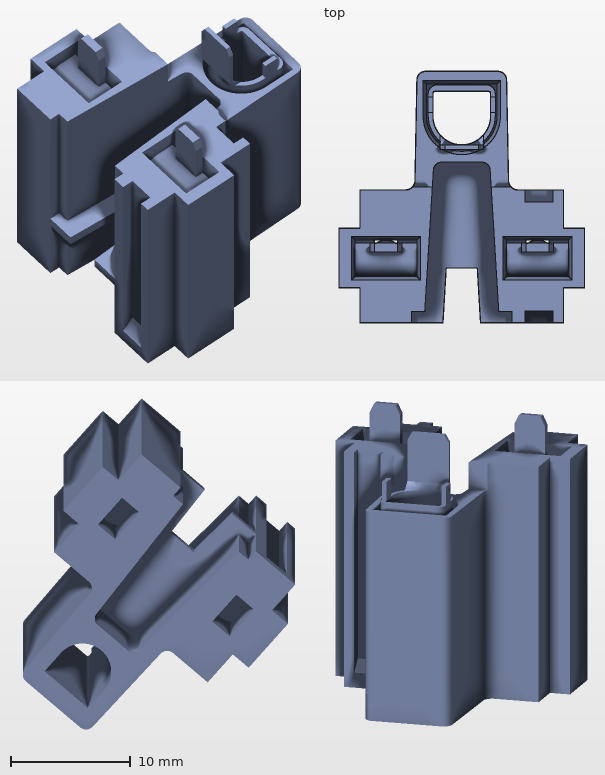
import cadquery as cq
import math

block_height = 20.33
block_half_width = 8.5
block_depth = 11.12
ear_half_width = 10.255
ear_front = 2.93
ear_depth = 5.0

housing_depth = 21.02
tower_height = 18.03
tower_step_y = 11.36
tower_root_half_width = 3.93
tower_rear_half_width = 3.74
tower_corner_radius = 0.75

channel_front_half_width = 3.15
channel_rear_half_width = 2.33
channel_rear_y = 13.43
channel_corner_radius = 0.7
notch_half_width = 4.18
notch_depth = 0.95
web_bottom = 6.3
web_thickness = 0.9
web_slot_front_half_width = 1.56
web_slot_rear_half_width = 1.29
web_slot_depth = 4.57

groove_center_x = 6.46
groove_width = 2.32
groove_depth = 1.02
groove_bottom = 1.3
groove_slope_rise = 0.97

mouth_flare = 0.28
mouth_depth = 1.3

terminal_x = 6.33
pocket_center_y = 5.4
pocket_length = 5.18
pocket_width = 3.06
pocket_floor = 4.1
entry_width = 1.94
terminal_top = 19.2
terminal_roll_radius = 1.2
terminal_rear_gap = 0.26
bulge_half_width = 0.8
pin_width = 2.66
pin_thickness = 0.74
pin_top = 23.43
pin_chamfer_width = 0.38
pin_chamfer_height = 0.79

sleeve_y = 17.28
sleeve_inner_radius = 2.4
sleeve_wall = 0.4
sleeve_rear_y = 19.88
sleeve_rear_wall = 0.54
sleeve_corner_radius = 0.75
sleeve_inner_corner_radius = 0.2
sleeve_top = 18.56
bore_half_width = 2.95
bore_rear_y = 19.96
bore_floor = 2.0
ear_tab_front = 17.57
ear_tab_length = 1.29
ear_tab_top = 20.14
blade_half_width = 1.81
blade_bend_top = 19.26
blade_top = 23.5
blade_chamfer_width = 0.4
blade_chamfer_height = 0.68

sleeve_outer_radius = sleeve_inner_radius + sleeve_wall
pocket_rear_y = pocket_center_y + pocket_width / 2
pocket_front_y = pocket_center_y - pocket_width / 2
terminal_rear_y = pocket_rear_y - terminal_rear_gap


def box(x_min, x_max, y_min, y_max, z_min, z_max):
    """Axis-aligned box between the given limits."""
    size = (x_max - x_min, y_max - y_min, z_max - z_min)
    return cq.Workplane("XY").box(*size, centered=False).translate((x_min, y_min, z_min))


def tapered_prism(front_half, rear_half, front_y, rear_y, height):
    """Prism standing on Z=0, symmetric about X=0, whose width changes along Y."""
    outline = [(-front_half, front_y), (front_half, front_y), (rear_half, rear_y), (-rear_half, rear_y)]
    return cq.Workplane("XY").polyline(outline).close().extrude(height)


def d_outline(plane, radius, rear_y):
    """D-shaped outline: a half circle toward the front and square rear corners."""
    return (
        plane.moveTo(-radius, sleeve_y)
        .threePointArc((0, sleeve_y - radius), (radius, sleeve_y))
        .lineTo(radius, rear_y)
        .lineTo(-radius, rear_y)
        .close()
    )


def d_prism(radius, rear_y, bottom, height):
    """Upright prism with the D-shaped outline."""
    return d_outline(cq.Workplane("XY", origin=(0, 0, bottom)), radius, rear_y).extrude(height)


def chamfered_blade(half_width, bottom, top, chamfer_width, chamfer_height, rear_y, thickness):
    """Upright flat blade, symmetric about X=0, with both top corners cut off."""
    shoulder = top - chamfer_height
    tip_half = half_width - chamfer_width
    outline = [
        (-half_width, bottom),
        (half_width, bottom),
        (half_width, shoulder),
        (tip_half, top),
        (-tip_half, top),
        (-half_width, shoulder),
    ]
    return cq.Workplane("XZ", origin=(0, rear_y, 0)).polyline(outline).close().extrude(thickness)



def housing_shell():
    """Cross-shaped front block joined to the lower rear tower."""
    block = box(-block_half_width, block_half_width, 0, block_depth, 0, block_height)
    ears = box(-ear_half_width, ear_half_width, ear_front, ear_front + ear_depth, 0, block_height)
    tower = tapered_prism(
        tower_root_half_width, tower_rear_half_width, block_depth, housing_depth, block_height
    )
    tower = tower.faces(">Y").edges("|Z").fillet(tower_corner_radius)
    shell = block.union(ears).union(tower)
    margin = 0.1
    root_edges = cq.selectors.BoxSelector(
        (-tower_root_half_width - margin, block_depth - margin, 0),
        (tower_root_half_width + margin, block_depth + margin, block_height),
    )
    shell = shell.edges("|Z").edges(root_edges).fillet(tower_corner_radius)
    above_tower = box(
        -ear_half_width, ear_half_width, tower_step_y, housing_depth, tower_height, block_height
    )
    return shell.cut(above_tower)


def channel():
    """Tapered channel with its front notch, interrupted by the slotted web."""
    space = tapered_prism(
        channel_front_half_width, channel_rear_half_width, 0, channel_rear_y, block_height
    )
    space = space.faces(">Y").edges("|Z").fillet(channel_corner_radius)
    space = space.union(box(-notch_half_width, notch_half_width, 0, notch_depth, 0, block_height))
    web = box(
        -notch_half_width, notch_half_width, 0, channel_rear_y, web_bottom, web_bottom + web_thickness
    )
    slot = tapered_prism(
        web_slot_front_half_width, web_slot_rear_half_width, 0, web_slot_depth, block_height
    )
    return space.cut(web.cut(slot))


def front_groove():
    """Coding groove open at the top, with a sloped lower end."""
    side_outline = [
        (0, groove_bottom),
        (groove_depth, groove_bottom + groove_slope_rise),
        (groove_depth, block_height),
        (0, block_height),
    ]
    left = groove_center_x - groove_width / 2
    return cq.Workplane("YZ", origin=(left, 0, 0)).polyline(side_outline).close().extrude(groove_width)


def terminal_pocket(center_x):
    """Flared rectangular pocket with a narrow entry through its floor."""
    mouth_bottom = block_height - mouth_depth
    mouth = (
        cq.Workplane("XY", origin=(center_x, pocket_center_y, mouth_bottom))
        .rect(pocket_length, pocket_width)
        .workplane(offset=mouth_depth)
        .rect(pocket_length + 2 * mouth_flare, pocket_width + 2 * mouth_flare)
        .loft(ruled=True)
    )
    half = pocket_length / 2
    cavity = box(
        center_x - half, center_x + half, pocket_front_y, pocket_rear_y, pocket_floor, mouth_bottom
    )
    entry_half = entry_width / 2
    entry = box(
        center_x - entry_half, center_x + entry_half, pocket_front_y, pocket_rear_y, 0, pocket_floor
    )
    return mouth.union(cavity).union(entry)


def sleeve_bore():
    """D-shaped bore with a ledge that carries the sleeve."""
    mouth_bottom = tower_height - mouth_depth
    lower_outline = d_outline(cq.Workplane("XY", origin=(0, 0, mouth_bottom)), bore_half_width, bore_rear_y)
    upper_plane = lower_outline.workplane(offset=mouth_depth)
    mouth = d_outline(upper_plane, bore_half_width + mouth_flare, bore_rear_y + mouth_flare).loft(ruled=True)
    cavity = d_prism(bore_half_width, bore_rear_y, bore_floor, mouth_bottom - bore_floor)
    entry = d_prism(sleeve_inner_radius, sleeve_rear_y - sleeve_rear_wall, 0, bore_floor)
    return mouth.union(cavity).union(entry)


def make_housing():
    rear_groove = front_groove().mirror("XZ").translate((0, block_depth, 0))
    body = housing_shell().cut(channel()).cut(front_groove()).cut(rear_groove)
    for side in (-1, 1):
        body = body.cut(terminal_pocket(side * terminal_x))
    return body.cut(sleeve_bore())



def make_terminal(center_x):
    """Solid contact block with a rolled front top edge, a rear bulge and an upright pin."""
    half = pocket_length / 2
    body = box(-half, half, pocket_front_y, terminal_rear_y, pocket_floor, terminal_top)
    body = body.faces("<Y").edges(">Z").fillet(terminal_roll_radius)
    bulge = (
        cq.Workplane("XY", origin=(0, 0, pocket_floor))
        .moveTo(-bulge_half_width, terminal_rear_y)
        .threePointArc((0, pocket_rear_y), (bulge_half_width, terminal_rear_y))
        .close()
        .extrude(terminal_top - pocket_floor - terminal_roll_radius)
    )
    pin = chamfered_blade(
        pin_width / 2, pocket_floor, pin_top, pin_chamfer_width, pin_chamfer_height,
        terminal_rear_y, pin_thickness,
    )
    return body.union(bulge).union(pin).translate((center_x, 0, 0))



def sleeve_tube():
    """D-shaped tube with rounded rear corners."""
    length = sleeve_top - bore_floor
    outer = d_prism(sleeve_outer_radius, sleeve_rear_y, bore_floor, length)
    outer = outer.faces(">Y").edges("|Z").fillet(sleeve_corner_radius)
    inner = d_prism(sleeve_inner_radius, sleeve_rear_y - sleeve_rear_wall, bore_floor, length)
    inner = inner.faces(">Y").edges("|Z").fillet(sleeve_inner_corner_radius)
    return outer.cut(inner)


def arc_y(radius, x):
    """Y of the front half circle of the sleeve at the given X."""
    return sleeve_y - math.sqrt(radius**2 - x**2)


def blade_bend():
    """Transition from the curved front wall of the sleeve to the flat blade."""
    w = blade_half_width
    outer_y = arc_y(sleeve_outer_radius, w)
    inner_y = arc_y(sleeve_inner_radius, w)
    front_y = sleeve_y - sleeve_outer_radius
    back_y = front_y + sleeve_wall
    return (
        cq.Workplane("XY", origin=(0, 0, sleeve_top))
        .moveTo(-w, outer_y)
        .threePointArc((0, front_y), (w, outer_y))
        .lineTo(w, inner_y)
        .threePointArc((0, back_y), (-w, inner_y))
        .close()
        .workplane(offset=blade_bend_top - sleeve_top)
        .moveTo(-w, front_y)
        .lineTo(w, front_y)
        .lineTo(w, back_y)
        .lineTo(-w, back_y)
        .close()
        .loft(ruled=True)
    )


def make_sleeve():
    blade = chamfered_blade(
        blade_half_width, blade_bend_top, blade_top, blade_chamfer_width, blade_chamfer_height,
        sleeve_y - sleeve_inner_radius, sleeve_wall,
    )
    sleeve = sleeve_tube().union(blade_bend()).union(blade)
    ear_tab = box(
        sleeve_inner_radius, sleeve_outer_radius, ear_tab_front, ear_tab_front + ear_tab_length,
        sleeve_top, ear_tab_top,
    )
    return sleeve.union(ear_tab).union(ear_tab.mirror("YZ"))


housing = make_housing()
terminals = [make_terminal(side * terminal_x) for side in (-1, 1)]
sleeve = make_sleeve()

result = cq.Compound.makeCompound(
    [
        housing.solids().val(),
        *[terminal.solids().val() for terminal in terminals],
        sleeve.solids().val(),
    ]
)